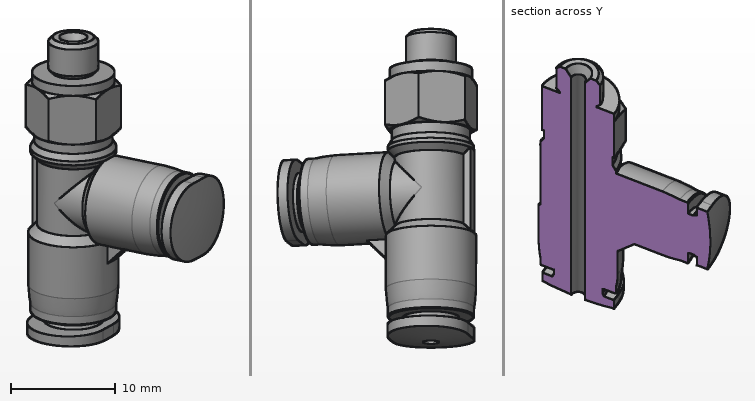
import cadquery as cq
import math


STEM_RADIUS = 3.5
SOCKET_RADIUS = 8.7 / 2
SOCKET_RIM_RADIUS = 8.3 / 2
SOCKET_START = 4.0
TAPER_START = 9.25
TAPER_END = 11.15
SOCKET_END = 12.05
SOCKET_EDGE_CHAMFER = 0.1

COLLAR_NECK_RADIUS = 5.37 / 2
COLLAR_FOOT_RADIUS = 2.85
FLARE_START = 12.6
FLANGE_START = 12.95
COLLAR_END = 14.5
FLANGE_LENGTH = 9.8
FLANGE_FLAT = 1.95
FLANGE_WIDTH = FLANGE_LENGTH - FLANGE_FLAT
DOME_DROP = 0.55

RING_RADIUS = SOCKET_RIM_RADIUS
SHOULDER_RADIUS = 7.54 / 2
RING_BOTTOM = 4.3
RING_TOP = 4.7
SHOULDER_BOTTOM = 5.33

HEX_BOTTOM = 6.33
HEX_TOP = 11.33
HEX_SIDES = 6
HEX_FLATS = 7.94
HEX_CHAMFER_ANGLE = 30
SEAT_RADIUS = HEX_FLATS / 2
SEAT_TOP = 12.33

THREAD_RADIUS = 4.83 / 2
THREAD_ROOT_RADIUS = 3.97 / 2
THREAD_CHAMFER = THREAD_RADIUS - THREAD_ROOT_RADIUS
TOP = 15.9
BORE_DIAMETER = 1.5
BORE_MOUTH_DIAMETER = 2.7
BORE_MOUTH_DEPTH = 0.86

RIB_THICKNESS = 1.5
GUSSET_LEG = 1.8


def turned(profile):
    """Revolve a closed XZ profile about the Z axis."""
    return profile.close().revolve(360, (0, 0, 0), (0, 1, 0))


def make_collar_flange():
    """Oblong flange, long in Y, whose end face is a shallow spherical dome."""
    flange = (
        cq.Workplane("XY")
        .workplane(offset=FLANGE_START)
        .slot2D(FLANGE_LENGTH, FLANGE_WIDTH, 90)
        .extrude(COLLAR_END - FLANGE_START)
    )
    flange_reach = FLANGE_LENGTH / 2
    dome_radius = (flange_reach**2 + DOME_DROP**2) / (2 * DOME_DROP)
    middle_reach = flange_reach / 2
    middle_drop = dome_radius - math.sqrt(dome_radius**2 - middle_reach**2)
    envelope = turned(
        cq.Workplane("XZ")
        .moveTo(0, FLANGE_START)
        .lineTo(flange_reach, FLANGE_START)
        .lineTo(flange_reach, COLLAR_END - DOME_DROP)
        .threePointArc((middle_reach, COLLAR_END - middle_drop), (0, COLLAR_END))
    )
    return flange.intersect(envelope)


def make_socket():
    """Tube socket with its release collar, running from the origin along +Z."""
    taper_length = TAPER_END - TAPER_START
    taper_drop = SOCKET_RADIUS - SOCKET_RIM_RADIUS
    taper_curve = (taper_length**2 + taper_drop**2) / (2 * taper_drop)
    taper_middle = taper_length / 2
    middle_drop = taper_curve - math.sqrt(taper_curve**2 - taper_middle**2)
    body = turned(
        cq.Workplane("XZ")
        .lineTo(STEM_RADIUS, 0)
        .lineTo(STEM_RADIUS, SOCKET_START - (SOCKET_RADIUS - STEM_RADIUS))
        .lineTo(SOCKET_RADIUS, SOCKET_START)
        .lineTo(SOCKET_RADIUS, TAPER_START)
        .threePointArc(
            (SOCKET_RADIUS - middle_drop, TAPER_START + taper_middle),
            (SOCKET_RIM_RADIUS, TAPER_END),
        )
        .lineTo(SOCKET_RIM_RADIUS, SOCKET_END - SOCKET_EDGE_CHAMFER)
        .lineTo(SOCKET_RIM_RADIUS - SOCKET_EDGE_CHAMFER, SOCKET_END)
        .lineTo(COLLAR_NECK_RADIUS, SOCKET_END)
        .lineTo(COLLAR_NECK_RADIUS, FLARE_START)
        .lineTo(COLLAR_FOOT_RADIUS, FLANGE_START)
        .lineTo(0, FLANGE_START)
    )
    return body.union(make_collar_flange())


def make_stem_top():
    """Stem above the branch axis: shoulder ring, core of the hexagon, seat and threaded end."""
    return turned(
        cq.Workplane("XZ")
        .lineTo(STEM_RADIUS, 0)
        .lineTo(STEM_RADIUS, RING_BOTTOM - (RING_RADIUS - STEM_RADIUS))
        .lineTo(RING_RADIUS, RING_BOTTOM)
        .lineTo(RING_RADIUS, RING_TOP)
        .lineTo(SHOULDER_RADIUS, SHOULDER_BOTTOM)
        .lineTo(SHOULDER_RADIUS, HEX_TOP)
        .lineTo(SEAT_RADIUS, HEX_TOP)
        .lineTo(SEAT_RADIUS, SEAT_TOP)
        .lineTo(THREAD_ROOT_RADIUS, SEAT_TOP)
        .lineTo(THREAD_RADIUS, SEAT_TOP + THREAD_CHAMFER)
        .lineTo(THREAD_RADIUS, TOP - THREAD_CHAMFER)
        .lineTo(THREAD_ROOT_RADIUS, TOP)
        .lineTo(0, TOP)
    )


def make_hexagon():
    """Hexagon with corners on the Y axis, its corners turned off at both ends."""
    corner_radius = HEX_FLATS / 2 / math.cos(math.pi / HEX_SIDES)
    chamfer_height = (corner_radius - HEX_FLATS / 2) * math.tan(math.radians(HEX_CHAMFER_ANGLE))
    prism = (
        cq.Workplane("XY")
        .workplane(offset=HEX_BOTTOM)
        .transformed(rotate=(0, 0, 90))
        .polygon(HEX_SIDES, 2 * corner_radius)
        .extrude(HEX_TOP - HEX_BOTTOM)
    )
    envelope = turned(
        cq.Workplane("XZ")
        .moveTo(0, HEX_BOTTOM)
        .lineTo(HEX_FLATS / 2, HEX_BOTTOM)
        .lineTo(corner_radius, HEX_BOTTOM + chamfer_height)
        .lineTo(corner_radius, HEX_TOP - chamfer_height)
        .lineTo(HEX_FLATS / 2, HEX_TOP)
        .lineTo(0, HEX_TOP)
    )
    return prism.intersect(envelope)


def make_back_rib():
    """Flat rib on the -X side of the stem, from the shoulder ring down to the socket."""
    return (
        cq.Workplane("XY")
        .workplane(offset=-SOCKET_START)
        .center(-RING_RADIUS / 2, 0)
        .rect(RING_RADIUS, RIB_THICKNESS)
        .extrude(SOCKET_START + RING_BOTTOM)
    )


def make_gusset():
    """Triangular gusset in the corner between the lower socket and the branch socket."""
    reach = SOCKET_RADIUS + GUSSET_LEG
    return (
        cq.Workplane("XZ")
        .moveTo(STEM_RADIUS, -STEM_RADIUS)
        .lineTo(STEM_RADIUS, -reach)
        .lineTo(SOCKET_RADIUS, -reach)
        .lineTo(reach, -SOCKET_RADIUS)
        .lineTo(reach, -STEM_RADIUS)
        .close()
        .extrude(RIB_THICKNESS / 2, both=True)
    )


def make_bore():
    """Bore through the whole stem with a conical mouth at the threaded end."""
    bore_radius = BORE_DIAMETER / 2
    mouth_radius = BORE_MOUTH_DIAMETER / 2
    return turned(
        cq.Workplane("XZ")
        .moveTo(0, -COLLAR_END)
        .lineTo(bore_radius, -COLLAR_END)
        .lineTo(bore_radius, TOP - BORE_MOUTH_DEPTH)
        .lineTo(mouth_radius, TOP)
        .lineTo(0, TOP)
    )


socket = make_socket()
lower_socket = socket.rotate((0, 0, 0), (1, 0, 0), 180)
branch_socket = socket.rotate((0, 0, 0), (0, 1, 0), 90)

fitting = make_stem_top().union(lower_socket).union(branch_socket)
fitting = fitting.union(make_hexagon()).union(make_back_rib()).union(make_gusset())
result = fitting.cut(make_bore())